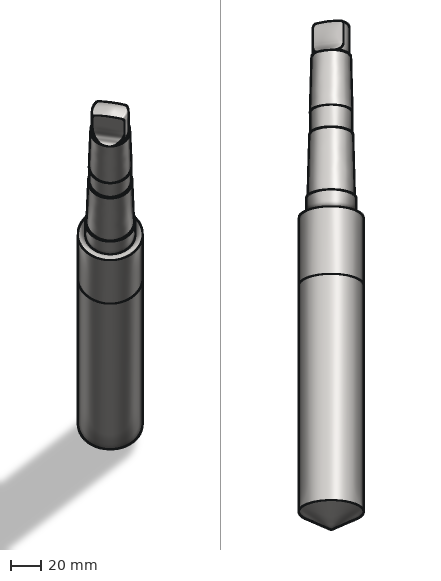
import cadquery as cq
import math

total_length = 359.0
body_diameter = 43.0

point_angle = 118.0
cutting_length = 173.2

head_length = 47.8

collar_diameter = 33.27
taper_large_diameter = 31.6
taper_ratio = 19.254
taper_length = 124.0

groove_diameter = 27.8
groove_bottom_above_collar = 44.8
groove_top_above_collar = 60.9

tang_diameter = 24.5
tang_thickness = 11.9
tang_length = 24.0
tang_root_radius = 8.0
tang_turn = 53.0
tang_end_radius = 9.6
tang_end_rise = 1.25

body_radius = body_diameter / 2
point_height = body_radius / math.tan(math.radians(point_angle / 2))
head_top = cutting_length + head_length
collar_radius = collar_diameter / 2
collar_top = total_length - taper_length
groove_radius = groove_diameter / 2
groove_bottom = collar_top + groove_bottom_above_collar
groove_top = collar_top + groove_top_above_collar
tang_radius = tang_diameter / 2
tang_base = total_length - tang_length


def taper_radius(z):
    """Radius of the taper at height z."""
    return (taper_large_diameter - (z - collar_top) / taper_ratio) / 2


def make_cutting_body():
    """Plain cylinder that ends in a conical point."""
    return (
        cq.Workplane("YZ")
        .moveTo(0, 0)
        .lineTo(body_radius, point_height)
        .lineTo(body_radius, cutting_length)
        .lineTo(0, cutting_length)
        .close()
        .revolve(360, (0, 0, 0), (0, 1, 0))
    )


def turned_shank():
    """Head, collar, grooved taper and round tang as one turned shape."""
    groove_step = taper_radius(groove_bottom) - groove_radius
    end_step = taper_radius(tang_base) - tang_radius
    edge_radius = tang_radius - tang_end_radius
    arc_offset = edge_radius * math.sqrt(0.5)
    edge_base = total_length - tang_end_rise - edge_radius
    return (
        cq.Workplane("YZ")
        .moveTo(0, cutting_length)
        .lineTo(body_radius, cutting_length)
        .lineTo(body_radius, head_top)
        .lineTo(collar_radius, head_top)
        .lineTo(collar_radius, collar_top)
        .lineTo(taper_radius(collar_top), collar_top)
        .lineTo(taper_radius(groove_bottom), groove_bottom)
        .lineTo(groove_radius, groove_bottom + groove_step)
        .lineTo(groove_radius, groove_top)
        .lineTo(taper_radius(groove_top), groove_top)
        .lineTo(taper_radius(tang_base), tang_base)
        .lineTo(tang_radius, tang_base + end_step)
        .lineTo(tang_radius, edge_base)
        .threePointArc(
            (tang_end_radius + arc_offset, edge_base + arc_offset),
            (tang_end_radius, edge_base + edge_radius),
        )
        .lineTo(0, total_length)
        .close()
        .revolve(360, (0, 0, 0), (0, 1, 0))
    )


def tang_side_cutter():
    """Stock beside one tang flat, rounded at the root by the cutter radius."""
    flat = tang_thickness / 2
    root_top = tang_base + tang_root_radius
    outer = flat + tang_root_radius
    arc_offset = tang_root_radius * (1 - math.sqrt(0.5))
    return (
        cq.Workplane("YZ")
        .moveTo(flat, total_length)
        .lineTo(flat, root_top)
        .threePointArc((flat + arc_offset, tang_base + arc_offset), (outer, tang_base))
        .lineTo(body_radius, tang_base)
        .lineTo(body_radius, total_length)
        .close()
        .extrude(body_radius, both=True)
    )


def make_shank():
    shank = turned_shank()
    for turn in (tang_turn, tang_turn + 180):
        shank = shank.cut(tang_side_cutter().rotate((0, 0, 0), (0, 0, 1), turn))
    return shank


cutting_body = make_cutting_body()
shank = make_shank()

result = cq.Compound.makeCompound([cutting_body.val(), shank.val()])